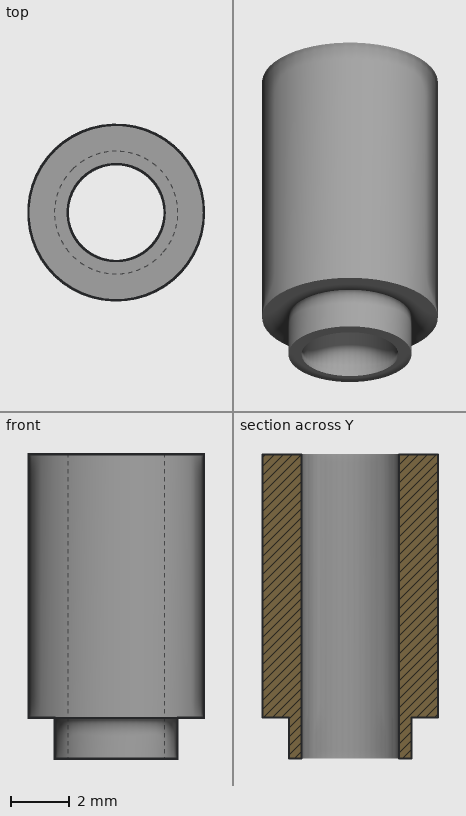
import cadquery as cq

BODY_DIAMETER = 6.0
BODY_LENGTH = 9.0
SPIGOT_DIAMETER = 4.2
SPIGOT_LENGTH = 1.4
BORE_DIAMETER = 3.3


def make_body():
    """Main spacer cylinder, standing on the shoulder plane Z = 0."""
    return cq.Workplane("XY").circle(BODY_DIAMETER / 2).extrude(BODY_LENGTH)


def make_spigot():
    """Reduced-diameter spigot hanging below the shoulder."""
    return cq.Workplane("XY").circle(SPIGOT_DIAMETER / 2).extrude(-SPIGOT_LENGTH)


def make_bore():
    """Through bore running the full length of body and spigot."""
    total_length = BODY_LENGTH + SPIGOT_LENGTH
    return (
        cq.Workplane("XY")
        .workplane(offset=-SPIGOT_LENGTH)
        .circle(BORE_DIAMETER / 2)
        .extrude(total_length)
    )


result = make_body().union(make_spigot()).cut(make_bore())